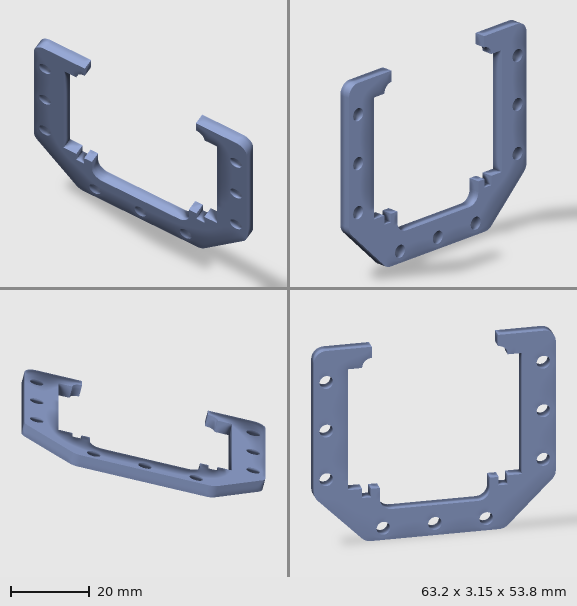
import cadquery as cq

width = 63.25
thickness = 3.15
height = 53.8
half_width = width / 2
top = height / 2
bottom = -height / 2

corner_chamfer = 13.5
corner_radius = 3.15

opening_half_width = 22.8
opening_top = top - 5.6
opening_floor = bottom + 14.7
gap_half_width = 16.5
hook_relief_radius = 2.5

channel_half_width = 14.4
channel_floor = bottom + 8.35
channel_radius = 3.15
tab_top = bottom + 14.5
notch_inner = 16.7
notch_outer = 19.05
notch_floor = bottom + 12.15

hole_diameter = 3.55
hole_pitch = 13.5
hole_edge_distance = 3.2
side_hole_top = top - 8.7


def prism(sketch_plane):
    """Extrude a closed XZ outline symmetrically through the thickness."""
    return sketch_plane.extrude(thickness / 2, both=True)


def block(x_min, x_max, z_min, z_max):
    """Full-thickness rectangular block given by its X and Z limits."""
    center = ((x_min + x_max) / 2, (z_min + z_max) / 2)
    return prism(cq.Workplane("XZ").center(*center).rect(x_max - x_min, z_max - z_min))


def outer_plate():
    """Plate with 45 degree lower corners and every outer corner rounded."""
    outline = [
        (-half_width, top),
        (half_width, top),
        (half_width, bottom + corner_chamfer),
        (half_width - corner_chamfer, bottom),
        (-half_width + corner_chamfer, bottom),
        (-half_width, bottom + corner_chamfer),
    ]
    plate = prism(cq.Workplane("XZ").polyline(outline).close())
    return plate.edges("|Y").fillet(corner_radius)


def lower_channel():
    """Channel between the tabs, with rounded floor corners."""
    channel = block(-channel_half_width, channel_half_width, channel_floor, opening_top)
    return channel.edges("|Y and <Z").fillet(channel_radius)


def through_holes(points):
    return prism(cq.Workplane("XZ").pushPoints(points).circle(hole_diameter / 2))


result = outer_plate()

result = result.cut(block(-opening_half_width, opening_half_width, opening_floor, opening_top))
result = result.cut(block(-gap_half_width, gap_half_width, opening_floor, top))
result = result.cut(lower_channel())

result = result.cut(block(-notch_outer, notch_outer, tab_top, opening_floor))
for side in (-1, 1):
    x_min, x_max = sorted((side * notch_inner, side * notch_outer))
    result = result.cut(block(x_min, x_max, notch_floor, opening_floor))
    relief = cq.Workplane("XZ").center(side * gap_half_width, opening_top).circle(hook_relief_radius)
    result = result.cut(prism(relief))

side_x = half_width - hole_edge_distance
side_holes = [(side * side_x, side_hole_top - row * hole_pitch) for side in (-1, 1) for row in range(3)]
bottom_holes = [(column * hole_pitch, bottom + hole_edge_distance) for column in (-1, 0, 1)]
result = result.cut(through_holes(side_holes + bottom_holes))